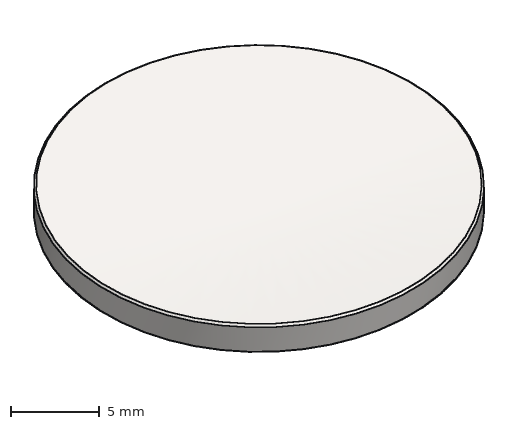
import cadquery as cq
import math

lens_diameter = 25.4
overall_height = 3.73
convex_radius = 47.6
concave_radius = 148.0
bevel_width = 0.2

rim_radius = lens_diameter / 2
chamfer_size = bevel_width / math.sqrt(2)
face_radius = rim_radius - chamfer_size


def sagitta(sphere_radius, chord_radius):
    """Height of a spherical cap measured over a circle of the given radius."""
    return sphere_radius - math.sqrt(sphere_radius**2 - chord_radius**2)


def sphere_midpoint(sphere_radius, vertex_z):
    """Point on an upward-opening sphere halfway out to the edge of the optical face."""
    half_radius = face_radius / 2
    return (-half_radius, vertex_z + sagitta(sphere_radius, half_radius))


def meniscus_lens():
    """Revolve the half section, drawn on the -Y side, about the optical axis."""
    convex_edge_z = sagitta(convex_radius, face_radius)
    concave_vertex_z = overall_height - sagitta(concave_radius, face_radius)
    half_section = (
        cq.Workplane("YZ")
        .moveTo(0, 0)
        .threePointArc(sphere_midpoint(convex_radius, 0), (-face_radius, convex_edge_z))
        .lineTo(-rim_radius, convex_edge_z + chamfer_size)
        .lineTo(-rim_radius, overall_height - chamfer_size)
        .lineTo(-face_radius, overall_height)
        .threePointArc(sphere_midpoint(concave_radius, concave_vertex_z), (0, concave_vertex_z))
        .close()
    )
    return half_section.revolve(360, (0, 0, 0), (0, 1, 0))


result = meniscus_lens()